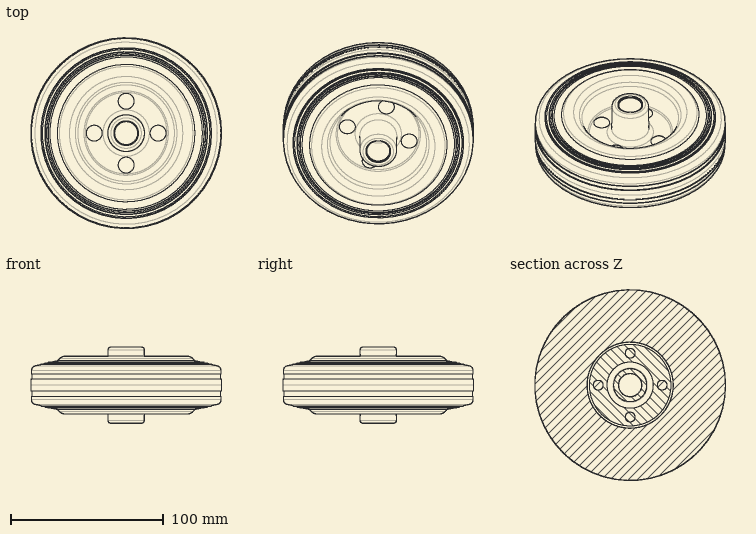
import cadquery as cq
import math


wheel_radius = 62.5
hub_half_length = 25.0
sheet = 1.0

lip_radius = 8.1
hub_top_radius = 11.95
hub_foot_radius = 12.2
hub_top_round = 2.0
hub_foot_round = 3.0
web_edge_radius = 27.4
web_edge_round = 1.0
shoulder_radius = 32.1
shoulder_height = 14.6
shoulder_round = 4.4
crest_radius = 40.7
crest_corner_height = 20.6
crest_round = 5.06
rim_radius = 45.0
rim_height = 16.0

sidewall_slope = 0.22
ridge_rise = 0.2
ridge_drop = 0.5
ridges = [(49.9, 51.0, 51.2), (52.1, 53.0, 53.3), (54.8, 55.6, 55.9)]
tread_edge_radius = 62.15
tread_round = 3.2
groove_radius = 61.75
groove_bottom = 4.0
groove_top = 7.3
tread_band_edge_radius = 62.45

bore_radius = 7.5
bush_end_round = hub_top_round - sheet

rivet_count = 4
rivet_circle_radius = 20.9
rivet_head_radius = 5.2
rivet_head_height = 3.0
rivet_shank_radius = 3.0


def offset_corners(corners, distance):
    """Shift a corner path to its right-hand side and adapt the corner rounds."""
    points = [(r, z) for r, z, _ in corners]
    directions = []
    for (r0, z0), (r1, z1) in zip(points, points[1:]):
        length = math.hypot(r1 - r0, z1 - z0)
        directions.append(((r1 - r0) / length, (z1 - z0) / length))
    directions = [directions[0]] + directions + [directions[-1]]
    shifted = []
    for (r, z, rounding), before, after in zip(corners, directions, directions[1:]):
        turn = before[0] * after[1] - before[1] * after[0]
        along = 1 + before[0] * after[0] + before[1] * after[1]
        r_shift = distance * (before[1] + after[1]) / along
        z_shift = -distance * (before[0] + after[0]) / along
        new_round = rounding
        if rounding:
            new_round = rounding + math.copysign(distance, turn)
        shifted.append((r + r_shift, z + z_shift, new_round))
    return shifted


def rounded_profile(corners):
    """Closed sketch through (radius, z, round) corners, with tangent arcs at rounded corners."""
    stations = []
    count = len(corners)
    for i, (r, z, rounding) in enumerate(corners):
        if not rounding:
            stations.append(((r, z),))
            continue
        legs = []
        for near_r, near_z, _ in (corners[i - 1], corners[(i + 1) % count]):
            length = math.hypot(near_r - r, near_z - z)
            legs.append(((near_r - r) / length, (near_z - z) / length))
        half = math.acos(legs[0][0] * legs[1][0] + legs[0][1] * legs[1][1]) / 2
        setback = rounding / math.tan(half)
        to_middle = rounding / math.sin(half) - rounding
        bisector = (legs[0][0] + legs[1][0], legs[0][1] + legs[1][1])
        bisector_length = math.hypot(*bisector)
        start = (r + setback * legs[0][0], z + setback * legs[0][1])
        middle = (
            r + to_middle * bisector[0] / bisector_length,
            z + to_middle * bisector[1] / bisector_length,
        )
        end = (r + setback * legs[1][0], z + setback * legs[1][1])
        stations.append((start, middle, end))
    sketch = cq.Workplane("XZ").moveTo(*stations[0][-1])
    for station in stations[1:]:
        sketch = sketch.lineTo(*station[0])
        if len(station) == 3:
            sketch = sketch.threePointArc(station[1], station[2])
    return sketch.close()


def spin(profile):
    """Revolve a (radius, z) profile about the wheel axis."""
    return profile.revolve(360, (0, 0, 0), (0, 1, 0))


def mirrored_pair(half):
    """Join an upper half to its mirror image below z = 0."""
    return half.union(half.mirror("XY"))


disc_face = [
    (lip_radius, hub_half_length, 0),
    (hub_top_radius, hub_half_length, hub_top_round),
    (hub_foot_radius, sheet, hub_foot_round),
    (web_edge_radius, sheet, web_edge_round),
    (shoulder_radius, shoulder_height, shoulder_round),
    (crest_radius, crest_corner_height, crest_round),
    (rim_radius, rim_height, 0),
]
disc_underside = offset_corners(disc_face, sheet)
web_edge = 3


def rivet_places(workplane):
    """Put one point on the workplane for each rivet."""
    return workplane.polarArray(rivet_circle_radius, 0, 360, rivet_count)


def make_upper_disc():
    """Sheet of constant thickness along the disc face, with a hole for each rivet."""
    disc = spin(rounded_profile(disc_face + disc_underside[::-1]))
    holes = rivet_places(cq.Workplane("XY")).circle(rivet_shank_radius).extrude(sheet)
    return disc.cut(holes)


def sidewall_corners():
    """Cone from the rim outwards, broken by ring ridges that rise gently and drop steeply."""
    corners = []
    r, z = rim_radius, rim_height
    for rise_start, peak, foot in ridges:
        z -= sidewall_slope * (rise_start - r)
        corners.append((rise_start, z, 0))
        z += ridge_rise
        corners.append((peak, z, 0))
        z -= ridge_drop
        corners.append((foot, z, 0))
        r = foot
    z -= sidewall_slope * (tread_edge_radius - r)
    corners.append((tread_edge_radius, z, tread_round))
    return corners


def make_tyre():
    """Ring that fills the space between the discs, from the web edge out to the tread."""
    web_edge_r, web_edge_z, _ = disc_underside[web_edge]
    corners = [(web_edge_r, web_edge_z, 0)]
    corners += disc_underside[web_edge + 1 :]
    corners.append(disc_face[-1])
    corners += sidewall_corners()
    corners += [
        (tread_edge_radius, groove_top, 0),
        (groove_radius, groove_top, 0),
        (groove_radius, groove_bottom, 0),
        (tread_band_edge_radius, groove_bottom, 0),
        (wheel_radius, 0, 0),
    ]
    return mirrored_pair(spin(rounded_profile(corners)))


def make_bush():
    """Tube held between the inward lips of the two discs."""
    top = hub_half_length - sheet
    outer_radius = hub_top_radius - sheet
    bush = cq.Workplane("XY").circle(outer_radius).extrude(top, both=True)
    bush = bush.edges("%CIRCLE").fillet(bush_end_round)
    bore = cq.Workplane("XY").circle(bore_radius).extrude(top, both=True)
    return bush.cut(bore)


def make_rivet():
    """Shank through both webs with a domed head on each outer face, on the wheel axis."""
    dome_radius = (rivet_head_radius**2 + rivet_head_height**2) / (2 * rivet_head_height)
    tip = sheet + rivet_head_height
    dome_centre = tip - dome_radius
    half_angle = math.asin(rivet_head_radius / dome_radius) / 2
    dome_middle = (
        dome_radius * math.sin(half_angle),
        dome_centre + dome_radius * math.cos(half_angle),
    )
    profile = (
        cq.Workplane("XZ")
        .moveTo(0, 0)
        .lineTo(rivet_shank_radius, 0)
        .lineTo(rivet_shank_radius, sheet)
        .lineTo(rivet_head_radius, sheet)
        .threePointArc(dome_middle, (0, tip))
        .close()
    )
    return mirrored_pair(spin(profile))


tyre = make_tyre()
upper_disc = make_upper_disc()
lower_disc = upper_disc.mirror("XY")
bush = make_bush()
rivet = make_rivet()
rivets = rivet_places(cq.Workplane("XY")).eachpoint(lambda place: rivet.val().moved(place))

result = cq.Compound.makeCompound(
    [tyre.val(), upper_disc.val(), lower_disc.val(), bush.val(), *rivets.vals()]
)